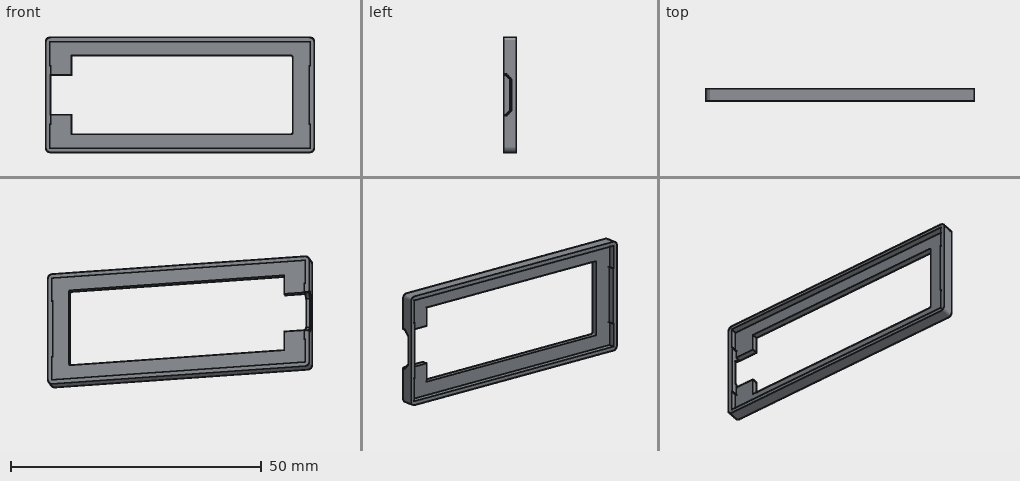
import cadquery as cq
import math

LENGTH = 53.6
DEPTH = 2.5
HEIGHT = 23.0
CORNER_RADIUS = 0.95

SIDE_WALL = 0.85
END_WALL = 0.85
PAD_THICKNESS = 0.15
PAD_HEIGHT = 11.7

PLATE_DEPTH = 1.25
POCKET_LENGTH = LENGTH - 2 * END_WALL
POCKET_HEIGHT = HEIGHT - 2 * SIDE_WALL

WINDOW_LENGTH = 44.05
WINDOW_HEIGHT = 15.65
WINDOW_OFFSET = 0.45
WINDOW_RADIUS = 0.3
SLOT_HEIGHT = 7.9

NOTCH_DEPTH = 1.6
NOTCH_LIP = 0.5
NOTCH_OUTER_HEIGHT = 8.4
NOTCH_FLOOR_HEIGHT = 6.1
NOTCH_BEVEL = 0.2

BACK = DEPTH / 2
PLATE_FRONT = BACK - PLATE_DEPTH


def block(length, height, front, back):
    """Block centred on X and Z that spans front to back along Y."""
    middle = (front + back) / 2
    return cq.Workplane("XY").box(length, back - front, height).translate((0, middle, 0))


def pocket():
    """Opening of the frame, narrowed by a shallow pad on each end wall."""
    full = block(POCKET_LENGTH, POCKET_HEIGHT, -BACK, BACK)
    narrow = block(POCKET_LENGTH - 2 * PAD_THICKNESS, PAD_HEIGHT, -BACK, BACK)
    ends = block(POCKET_LENGTH, PAD_HEIGHT, -BACK, BACK)
    return full.cut(ends).union(narrow)


def notch_outline(x, inset):
    """Trapezoidal notch outline at x, pulled in by inset from its outer size."""
    side_run = (NOTCH_OUTER_HEIGHT - NOTCH_FLOOR_HEIGHT) / 2
    slope = math.atan2(side_run, NOTCH_DEPTH - NOTCH_LIP)
    mitre = inset * math.tan(slope / 2)
    lip_y = BACK - NOTCH_LIP + mitre
    floor_y = BACK - NOTCH_DEPTH + inset
    outer_z = NOTCH_OUTER_HEIGHT / 2 - inset
    floor_z = NOTCH_FLOOR_HEIGHT / 2 - inset * math.tan(math.pi / 4 - slope / 2)
    return cq.Wire.makePolygon(
        [
            cq.Vector(x, BACK, -outer_z),
            cq.Vector(x, lip_y, -outer_z),
            cq.Vector(x, floor_y, -floor_z),
            cq.Vector(x, floor_y, floor_z),
            cq.Vector(x, lip_y, outer_z),
            cq.Vector(x, BACK, outer_z),
        ],
        close=True,
    )


def notch():
    """Cut through the -X wall with a bevelled mouth on the outer face."""
    outer_x = -LENGTH / 2
    inner_x = outer_x + NOTCH_BEVEL
    mouth = cq.Solid.makeLoft(
        [notch_outline(outer_x, 0), notch_outline(inner_x, NOTCH_BEVEL)], True
    )
    throat = cq.Solid.extrudeLinear(
        notch_outline(inner_x, NOTCH_BEVEL),
        [],
        cq.Vector(END_WALL + PAD_THICKNESS - NOTCH_BEVEL, 0, 0),
    )
    return cq.Workplane(obj=mouth.fuse(throat))


def make_frame():
    outer = block(LENGTH, HEIGHT, -BACK, BACK).edges("|Y").fillet(CORNER_RADIUS)
    return outer.cut(pocket()).cut(notch())


def make_plate():
    blank = pocket().intersect(block(LENGTH, HEIGHT, PLATE_FRONT, BACK))
    window = (
        block(WINDOW_LENGTH, WINDOW_HEIGHT, PLATE_FRONT, BACK)
        .edges("|Y and >X")
        .fillet(WINDOW_RADIUS)
        .translate((WINDOW_OFFSET, 0, 0))
    )
    slot = block(LENGTH / 2, SLOT_HEIGHT, PLATE_FRONT, BACK).translate((-LENGTH / 4, 0, 0))
    return blank.cut(window).cut(slot)


frame = make_frame()
plate = make_plate()

result = cq.Compound.makeCompound([frame.val(), plate.val()])